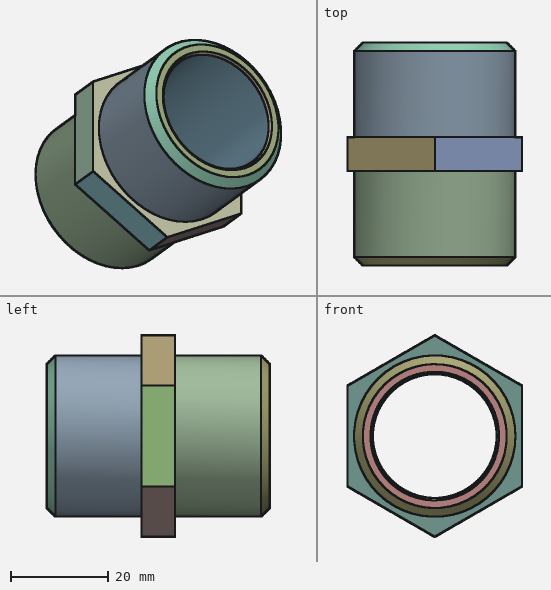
import cadquery as cq
import math

total_length = 46.0
tube_diameter = 33.25
bore_diameter = 25.5
hex_across_flats = 36.0
hex_width = 7.0
end_chamfer = 1.8
bore_chamfer = 0.5

hex_sides = 6
half_side_angle = 180.0 / hex_sides
hex_across_corners = hex_across_flats / math.cos(math.radians(half_side_angle))


def make_rod(diameter):
    """Full-length cylinder along Y, centred on the origin."""
    return cq.Workplane("XZ").circle(diameter / 2).extrude(total_length / 2, both=True)


def make_tube_body():
    """Solid round body, bevelled at both ends."""
    return make_rod(tube_diameter).faces("<Y or >Y").chamfer(end_chamfer)


def make_hex_collar():
    """Hexagon with flats facing +X and -X and corners along Z."""
    plane = cq.Workplane("XZ").transformed(rotate=(0, 0, half_side_angle))
    return plane.polygon(hex_sides, hex_across_corners).extrude(hex_width / 2, both=True)


def cut_bore(body):
    """Through bore with a small lead-in bevel at each mouth."""
    bored = body.cut(make_rod(bore_diameter))
    mouths = bored.faces("<Y or >Y").edges(cq.selectors.RadiusNthSelector(0))
    return mouths.chamfer(bore_chamfer)


result = cut_bore(make_tube_body().union(make_hex_collar()))